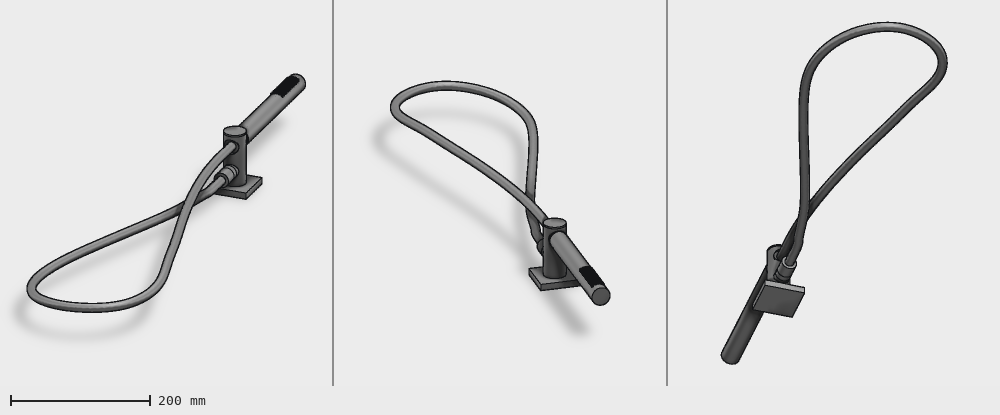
import cadquery as cq

plate_side = 60.0
plate_thickness = 10.0

overall_height = 90.0
post_diameter = 33.0
cap_thickness = 2.5
post_top = overall_height - cap_thickness

handset_axis_height = 71.0
handset_diameter = 27.0
handset_start = 18.0
handset_end = 230.0
neck_diameter = 25.0
neck_end = 0.0

nozzle_diameter = 3.0
nozzle_height = 2.0
nozzle_column_pitch = 4.0
nozzle_row_pitch = 5.0
nozzle_row_count = 13
nozzle_column_count = 5
nozzle_field_middle = 185.5

hose_diameter = 13.0
hose_nut_diameter = 22.0
hose_nut_front = -12.0
outlet_height = 33.0
outlet_diameter = 22.0
stub_start = -8.0
stub_end = -21.0
ring_end = -30.0
coupling_end = -50.5

hose_start = (0, hose_nut_front, handset_axis_height)
hose_finish = (0, coupling_end, outlet_height)
hose_loop = [
    (0.0, -65.0, 71.0),
    (9.0, -155.0, 72.0),
    (39.0, -290.0, 73.0),
    (59.0, -364.5, 72.0),
    (73.0, -424.0, 69.5),
    (85.0, -499.5, 63.0),
    (63.0, -559.0, 58.0),
    (-7.0, -591.0, 55.5),
    (-76.0, -559.0, 47.0),
    (-103.5, -493.0, 40.5),
    (-95.0, -424.0, 40.5),
    (-78.0, -364.5, 40.0),
    (-28.0, -215.0, 36.0),
    (-12.5, -155.0, 34.0),
    (-4.0, -108.0, 33.0),
]


def y_cylinder(diameter, height, start, end):
    """A cylinder along Y between two Y positions, with its axis at X = 0 and the given height."""
    base = cq.Plane(origin=(0, start, height), xDir=(1, 0, 0), normal=(0, 1, 0))
    return cq.Workplane(base).circle(diameter / 2).extrude(end - start)


def make_plate():
    return cq.Workplane("XY").box(plate_side, plate_side, plate_thickness, centered=(True, True, False))


def make_post():
    post = (
        cq.Workplane("XY", origin=(0, 0, plate_thickness))
        .circle(post_diameter / 2)
        .extrude(post_top - plate_thickness)
    )
    neck_hole = y_cylinder(neck_diameter, handset_axis_height, neck_end, post_diameter)
    nut_hole = y_cylinder(hose_nut_diameter, handset_axis_height, -post_diameter, neck_end)
    outlet_socket = y_cylinder(outlet_diameter, outlet_height, -post_diameter, stub_start)
    return post.cut(neck_hole).cut(nut_hole).cut(outlet_socket)


def make_cap():
    return cq.Workplane("XY", origin=(0, 0, post_top)).circle(post_diameter / 2).extrude(cap_thickness)


def make_handset():
    handset = y_cylinder(handset_diameter, handset_axis_height, handset_start, handset_end)
    neck = y_cylinder(neck_diameter, handset_axis_height, neck_end, handset_start)
    nozzles = (
        cq.Workplane("XY", origin=(0, nozzle_field_middle, handset_axis_height))
        .rarray(nozzle_column_pitch, nozzle_row_pitch, nozzle_column_count, nozzle_row_count)
        .circle(nozzle_diameter / 2)
        .extrude(handset_diameter)
    )
    tip_diameter = handset_diameter + 2 * nozzle_height
    tip_envelope = y_cylinder(tip_diameter, handset_axis_height, handset_start, handset_end)
    return handset.union(neck).union(nozzles.intersect(tip_envelope))


def make_hose():
    centre_line = cq.Edge.makeSpline(
        [cq.Vector(*point) for point in [hose_start, *hose_loop, hose_finish]],
        tangents=[cq.Vector(0, -1, 0), cq.Vector(0, 1, 0)],
    )
    path = cq.Workplane(cq.Wire.assembleEdges([centre_line]))
    return cq.Workplane("XZ", origin=hose_start).circle(hose_diameter / 2).sweep(path)


plate = make_plate()
post = make_post()
cap = make_cap()
handset = make_handset()
hose = make_hose()
hose_nut = y_cylinder(hose_nut_diameter, handset_axis_height, hose_nut_front, neck_end)
outlet_stub = y_cylinder(outlet_diameter, outlet_height, stub_end, stub_start)
outlet_ring = y_cylinder(outlet_diameter, outlet_height, ring_end, stub_end)
coupling_nut = y_cylinder(outlet_diameter, outlet_height, coupling_end, ring_end)

bodies = [plate, post, cap, handset, hose_nut, hose, outlet_stub, outlet_ring, coupling_nut]
result = cq.Compound.makeCompound([body.val() for body in bodies])